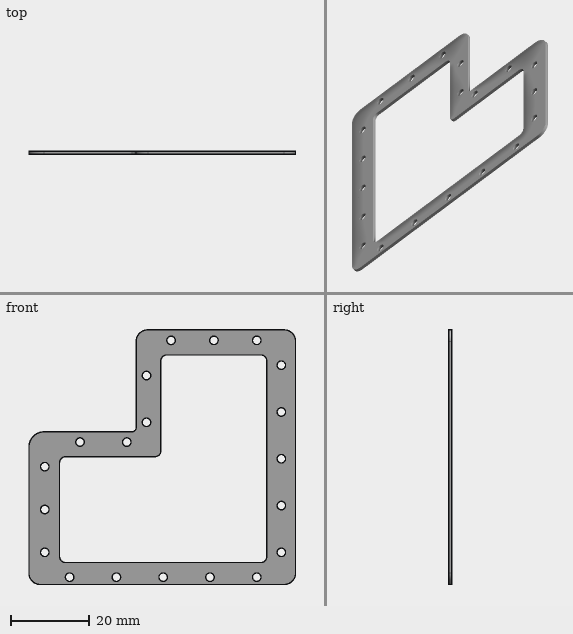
import cadquery as cq

length = 68.45
height = 65.4
thickness = 0.8

notch_x = 27.5
notch_z = 39.2

window_left = 7.95
window_right = 61.0
window_bottom = 5.7
window_top = 58.9
window_step_x = 33.9
window_step_z = 32.8

corner_radius = 3.0
shoulder_radius = 4.0
notch_radius = 1.0
window_radius = 1.5

hole_diameter = 2.1
long_span = 48.0
short_span = 22.0
long_pitch = long_span / 4
short_pitch = short_span / 2
left_row_x = 4.1
right_row_x = 64.75
bottom_row_z = 1.9
top_row_z = 62.65
upper_column_x = 30.2
shoulder_row_z = 36.55
lowest_side_hole_z = 8.3
last_hole_x = 58.45
upper_column_start_z = 41.6
shoulder_row_start_x = 13.15


def plate(points):
    """Extrude an outline in XZ through the thickness, towards +Y."""
    return cq.Workplane("XZ").polyline(points).close().extrude(-thickness)


def round_corners(body, corners, radius):
    """Fillet the edges along Y that stand at the given (x, z) corners."""
    for x, z in corners:
        corner_edge = cq.selectors.NearestToPointSelector((x, thickness / 2, z))
        body = body.edges("|Y").edges(corner_edge).fillet(radius)
    return body


def hole_row(start, step, count):
    """Return evenly spaced (x, z) hole centres."""
    return [(start[0] + i * step[0], start[1] + i * step[1]) for i in range(count)]


notch_corner = (notch_x, notch_z)
shoulder_corner = (0, notch_z)
outer_corners = [(0, 0), (length, 0), (length, height), (notch_x, height)]
outer = plate(outer_corners + [notch_corner, shoulder_corner])
outer = round_corners(outer, outer_corners, corner_radius)
outer = round_corners(outer, [shoulder_corner], shoulder_radius)
outer = round_corners(outer, [notch_corner], notch_radius)

window_corners = [
    (window_left, window_bottom),
    (window_right, window_bottom),
    (window_right, window_top),
    (window_step_x, window_top),
    (window_step_x, window_step_z),
    (window_left, window_step_z),
]
window = round_corners(plate(window_corners), window_corners, window_radius)

hole_centres = (
    hole_row((last_hole_x - long_span, bottom_row_z), (long_pitch, 0), 5)
    + hole_row((right_row_x, lowest_side_hole_z), (0, long_pitch), 5)
    + hole_row((last_hole_x - short_span, top_row_z), (short_pitch, 0), 3)
    + hole_row((left_row_x, lowest_side_hole_z), (0, short_pitch), 3)
    + hole_row((upper_column_x, upper_column_start_z), (0, long_pitch), 2)
    + hole_row((shoulder_row_start_x, shoulder_row_z), (long_pitch, 0), 2)
)
holes = (
    cq.Workplane("XZ")
    .pushPoints(hole_centres)
    .circle(hole_diameter / 2)
    .extrude(-thickness)
)

result = outer.cut(window).cut(holes)